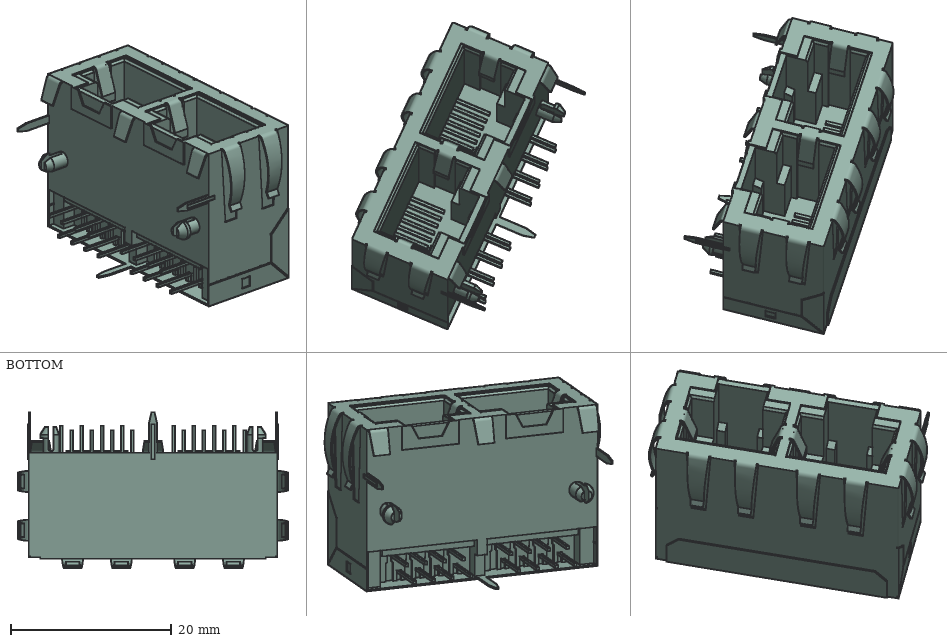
import cadquery as cq
import math


OVERALL_WIDTH = 33.77
WIDTH = 31.0
DEPTH = 13.07
HEIGHT = 20.97
SHEET = 0.2
PORT_X = 7.0
HALF_WIDTH = WIDTH / 2
SHELF_Z = HEIGHT - SHEET
SIDES = (-1, 1)

REAR_COVER_Z = 9.62
REAR_COVER_Y = 10.2
REAR_CORNER_Z = 6.82
LOWER_SEAM_Z = 2.95
SEAM_WIDTH = 0.15
BACK_CORNER_RADIUS = 0.17

OPENING_OUTER = 6.4
OPENING_INNER = 6.3
OPENING_BOTTOM = 2.15
OPENING_TOP = 10.98
KEYWAY_OPENING_WIDTH = 6.65
CAVITY_WIDTH = 11.95
CAVITY_BOTTOM = 3.58
CAVITY_TOP = 10.35
LEAD_IN = 0.3
CAVITY_FLOOR_Z = 6.08
KEYWAY_WIDTH = 6.25
KEYWAY_BOTTOM = 0.8
SHOULDER_Y = 4.63
SHOULDER_Z = 13.5
RAMP_SIZE = 1.08
RAMP_RISE = 0.4

CONTACT_COUNT = 8
CONTACT_PITCH = 1.0
CONTACT_WIDTH = 0.4
CONTACT_HEIGHT = 0.35
CONTACT_BOTTOM = 5.8

CLIP_Y = 6.82
CLIP_WIDTH = 2.05
CLIP_ROOT = 6.52
CLIP_BEND = 5.95
CLIP_TIP = 4.8
CLIP_BEND_Z = 20.55
CLIP_KNEE_Z = 17.4
CLIP_END_Z = 16.3
CLIP_SLOT_WIDTH = 2.85
CLIP_NOTCH_WIDTH = 2.45

SPRING_TOP_WIDTH = 2.67
SPRING_TIP_WIDTH = 1.6
SPRING_REACH = OVERALL_WIDTH / 2 - HALF_WIDTH
SPRING_RADIUS = 8.78
SPRING_CENTRE_Z = 16.55
SPRING_BEND = 0.4
SPRING_KINK_Z = 13.3
SPRING_TIP_Z = 12.6
SIDE_SPRING_Y = (3.6, 9.7)
BACK_SPRING_X = (-10.03, -3.95, 3.95, 10.03)
SLOT_TOP_WIDTH = 3.07
SLOT_BOTTOM_WIDTH = 1.82
SLOT_BOTTOM_Z = 10.77

FINGER_X = (-14.0, 0, 14.0)
FINGER_TOP_WIDTH = 2.53
FINGER_TIP_WIDTH = 2.13
FINGER_ROOT_Y = 0.1
FINGER_BEND = 0.47
FINGER_BEND_Z = 20.55
FINGER_REACH = 1.5
FINGER_TIP_Z = 17.93

PLATE_WIDTH = 7.65
PLATE_BOTTOM_Z = 17.9
NOTCH_TOP_WIDTH = 5.05
NOTCH_BOTTOM_WIDTH = 3.15
NOTCH_BOTTOM_Z = 19.15

STRIP_HEIGHT = 4.55
STRIP_WIDTH = 28.13
STRIP_TOP_WIDTH = 25.05
LATCH_SIZE = 1.32
LATCH_Y = 6.15
LATCH_Z = 1.45

BAY_TOP_Z = 5.1
BAY_SIDE_X = 13.37
BAY_MIDDLE = 0.68
BAY_BACK_Y = 2.5
POST_Y = 0.75
TAB_BOTTOM_Z = 3.07
LINTEL_Z = 4.12
LINTEL_Y = 0.68
LINTEL_INNER_X = 0.78
LINTEL_OUTER_X = 13.17

PIN_SIZE = 0.37
PINS_PER_ROW = 4
PIN_PITCH = 2.53
UPPER_PIN_Z = 3.85
UPPER_PIN_TIP = -3.35
LOWER_PIN_Z = 1.35
LOWER_PIN_TIP = -2.8
GROOVE_DEPTH = 0.37
GROOVE_WIDTH = 0.6
WIDE_GROOVE = 0.98
WIDE_GROOVE_Z = 2.55
NARROW_GROOVE_Z = 2.77

GROUND_WIDTH = 1.05
GROUND_TAPER_Y = -3.6
GROUND_TIP_Y = -5.03
GROUND_TIP_WIDTH = 0.4
GROUND_Z = 14.8
RIB_WIDTH = 0.47
RIB_START_Y = 0.85
RIB_END_Y = -3.5
RIB_HEIGHT = 0.1

PEG_X = 12.7
PEG_Z = 10.23
PEG_RADIUS = 1.0
PEG_TIP_RADIUS = 0.65
PEG_SHOULDER_Y = -2.23
PEG_TIP_Y = -3.2
BARB_X = 12.83
BARB_RADIUS = 1.25
BARB_START_Y = -1.8
PEG_SLOT_X = 12.73
PEG_SLOT_WIDTH = 0.65
PEG_SLOT_BOTTOM_Y = -0.17


def block(x0, x1, y0, y1, z0, z1):
    """Box between two corners."""
    return cq.Workplane("XY").box(x1 - x0, y1 - y0, z1 - z0, centered=False).translate((x0, y0, z0))


def trapezoid(centre, bottom_width, bottom_z, top_width, top_z):
    """Corner points of an upright symmetric trapezoid."""
    return [
        (centre - bottom_width / 2, bottom_z),
        (centre + bottom_width / 2, bottom_z),
        (centre + top_width / 2, top_z),
        (centre - top_width / 2, top_z),
    ]


def prism_y(points, y0, y1):
    """Extrude an XZ outline from y0 to y1."""
    return cq.Workplane("XZ", origin=(0, y0, 0)).polyline(points).close().extrude(y0 - y1)


def prism_x(points, x0, x1):
    """Extrude a YZ outline from x0 to x1."""
    return cq.Workplane("YZ", origin=(x0, 0, 0)).polyline(points).close().extrude(x1 - x0)


def combined(base, parts):
    """Fuse a list of parts onto a base in one step."""
    return cq.Workplane(base.val().fuse(*[part.val() for part in parts])).clean()


def without(base, tools):
    """Cut a list of tools from a base in one step."""
    return cq.Workplane(base.val().cut(*[tool.val() for tool in tools])).clean()


def shield_body():
    lower = block(-HALF_WIDTH, HALF_WIDTH, 0, DEPTH, 0, REAR_COVER_Z)
    upper = block(-HALF_WIDTH, HALF_WIDTH, 0, DEPTH, REAR_COVER_Z, HEIGHT)
    return lower.union(upper.edges("|Z and >Y").fillet(BACK_CORNER_RADIUS))


def seam_cut(start, end, x0):
    """Straight groove in a side wall between two (y, z) points."""
    length = math.dist(start, end)
    angle = math.degrees(math.atan2(end[1] - start[1], end[0] - start[0]))
    groove = block(x0, x0 + SHEET, 0, length, -SEAM_WIDTH / 2, SEAM_WIDTH / 2)
    return groove.rotate((0, 0, 0), (1, 0, 0), angle).translate((0, *start))


def side_seams():
    """Grooves around the rear cover flanges and the square latch windows."""
    path = [
        (DEPTH, REAR_COVER_Z),
        (REAR_COVER_Y, REAR_CORNER_Z),
        (REAR_COVER_Y, LOWER_SEAM_Z),
        (DEPTH, LOWER_SEAM_Z - (DEPTH - REAR_COVER_Y)),
    ]
    board_edge = (0, LOWER_SEAM_Z)
    segments = list(zip(path, path[1:])) + [(board_edge, path[2])]
    half_latch = LATCH_SIZE / 2
    cuts = []
    for x0 in (-HALF_WIDTH, HALF_WIDTH - SHEET):
        for start, end in segments:
            cuts.append(seam_cut(start, end, x0))
        cuts.append(
            block(x0, x0 + SHEET, LATCH_Y - half_latch, LATCH_Y + half_latch,
                  LATCH_Z - half_latch, LATCH_Z + half_latch)
        )
    return cuts


def back_strip():
    shoulder_z = STRIP_HEIGHT - (STRIP_WIDTH - STRIP_TOP_WIDTH) / 2
    lower = block(-STRIP_WIDTH / 2, STRIP_WIDTH / 2, DEPTH, DEPTH + SHEET, 0, shoulder_z)
    upper = trapezoid(0, STRIP_WIDTH, shoulder_z, STRIP_TOP_WIDTH, STRIP_HEIGHT)
    return lower.union(prism_y(upper, DEPTH, DEPTH + SHEET))


def port_cavity(side):
    """Everything removed for the port on one side."""
    centre_x = side * PORT_X
    half_cavity = CAVITY_WIDTH / 2
    half_lead_in = half_cavity + LEAD_IN
    middle_y = (CAVITY_BOTTOM + CAVITY_TOP) / 2
    cavity_height = CAVITY_TOP - CAVITY_BOTTOM
    left_edge, right_edge = sorted((side * OPENING_OUTER, -side * OPENING_INNER))

    def pocket(half_width, y0, y1, z0, z1):
        return block(centre_x - half_width, centre_x + half_width, y0, y1, z0, z1)

    def clip_pocket(half_width, width, z0, z1):
        return pocket(half_width, CLIP_Y - width / 2, CLIP_Y + width / 2, z0, z1)

    lead_in = (
        cq.Workplane("XY", origin=(centre_x, middle_y, SHELF_Z))
        .rect(2 * half_lead_in, cavity_height + 2 * LEAD_IN)
        .workplane(offset=-LEAD_IN)
        .rect(CAVITY_WIDTH, cavity_height)
        .loft(combine=True)
    )
    return [
        block(centre_x + left_edge, centre_x + right_edge, OPENING_BOTTOM, OPENING_TOP, SHELF_Z, HEIGHT),
        pocket(KEYWAY_OPENING_WIDTH / 2, 0, OPENING_TOP, SHELF_Z, HEIGHT),
        lead_in,
        pocket(half_cavity, SHOULDER_Y, CAVITY_TOP, CAVITY_FLOOR_Z, SHELF_Z),
        pocket(half_cavity, CAVITY_BOTTOM, SHOULDER_Y, SHOULDER_Z, SHELF_Z),
        pocket(KEYWAY_WIDTH / 2, KEYWAY_BOTTOM, SHOULDER_Y, CAVITY_FLOOR_Z, SHELF_Z),
        clip_pocket(half_lead_in, CLIP_SLOT_WIDTH, CAVITY_FLOOR_Z, SHELF_Z),
        clip_pocket(CLIP_ROOT, CLIP_NOTCH_WIDTH, SHELF_Z, HEIGHT),
    ]


def grounding_clip(side):
    """Strip folded down from the opening edge into the port."""
    embedded = CLIP_ROOT + SHEET
    clip = (
        cq.Workplane("XZ", origin=(0, CLIP_Y, 0))
        .moveTo(embedded, HEIGHT)
        .lineTo(CLIP_ROOT, HEIGHT)
        .tangentArcPoint((CLIP_BEND, CLIP_BEND_Z), relative=False)
        .lineTo(CLIP_TIP, CLIP_KNEE_Z)
        .lineTo(CLIP_TIP, CLIP_END_Z)
        .lineTo(CLIP_TIP + SHEET, CLIP_END_Z)
        .lineTo(CLIP_TIP + SHEET, CLIP_KNEE_Z)
        .lineTo(CLIP_BEND + SHEET, CLIP_BEND_Z)
        .tangentArcPoint((CLIP_ROOT, SHELF_Z), relative=False)
        .lineTo(embedded, SHELF_Z)
        .close()
        .extrude(CLIP_WIDTH / 2, both=True)
    )
    return clip if side > 0 else clip.mirror("YZ")


def port_fittings():
    """Contacts, keyway ramps and grounding clips of one port, centred on X = 0."""
    fittings = []
    for index in range(CONTACT_COUNT):
        x = (index - (CONTACT_COUNT - 1) / 2) * CONTACT_PITCH
        fittings.append(
            block(x - CONTACT_WIDTH / 2, x + CONTACT_WIDTH / 2, CONTACT_BOTTOM, CAVITY_TOP,
                  CAVITY_FLOOR_Z, CAVITY_FLOOR_Z + CONTACT_HEIGHT)
        )
    ramp = [
        (KEYWAY_BOTTOM, CAVITY_FLOOR_Z),
        (KEYWAY_BOTTOM + RAMP_SIZE, CAVITY_FLOOR_Z),
        (KEYWAY_BOTTOM + RAMP_SIZE, SHOULDER_Z - RAMP_RISE),
        (KEYWAY_BOTTOM, SHOULDER_Z),
    ]
    fittings.append(prism_x(ramp, -KEYWAY_WIDTH / 2, RAMP_SIZE - KEYWAY_WIDTH / 2))
    fittings.append(prism_x(ramp, KEYWAY_WIDTH / 2 - RAMP_SIZE, KEYWAY_WIDTH / 2))
    for side in SIDES:
        fittings.append(grounding_clip(side))
    return fittings


def keyway_plate(x):
    """Raised plate on the board face with a tapered notch in its top edge."""
    plate = block(x - PLATE_WIDTH / 2, x + PLATE_WIDTH / 2, -SHEET, 0, PLATE_BOTTOM_Z, HEIGHT)
    notch = trapezoid(x, NOTCH_BOTTOM_WIDTH, NOTCH_BOTTOM_Z, NOTCH_TOP_WIDTH, HEIGHT)
    return plate.cut(prism_y(notch, -SHEET, 0))


def curved_spring():
    def bulge(z, radius):
        """Distance of the curved blade from the wall at height z."""
        drop = math.sqrt(radius ** 2 - (z - SPRING_CENTRE_Z) ** 2)
        return SPRING_REACH - SPRING_RADIUS + drop

    inner_radius = SPRING_RADIUS - SHEET
    bend_height = math.sqrt(SPRING_RADIUS ** 2 - (SPRING_RADIUS - SPRING_REACH + SPRING_BEND) ** 2)
    bend_z = SPRING_CENTRE_Z + bend_height
    embedded = 2 * SHEET
    kink = bulge(SPRING_KINK_Z, SPRING_RADIUS)
    tip = kink + SPRING_BEND
    profile = (
        cq.Workplane("YZ")
        .moveTo(embedded, HEIGHT)
        .lineTo(SHEET, HEIGHT)
        .tangentArcPoint((-SPRING_BEND, bend_z), relative=False)
        .threePointArc((-SPRING_REACH, SPRING_CENTRE_Z), (-kink, SPRING_KINK_Z))
        .lineTo(-tip, SPRING_TIP_Z)
        .lineTo(SHEET - tip, SPRING_TIP_Z - SHEET / 2)
        .lineTo(-bulge(SPRING_KINK_Z, inner_radius), SPRING_KINK_Z)
        .threePointArc((SHEET - SPRING_REACH, SPRING_CENTRE_Z), (-bulge(bend_z, inner_radius), bend_z))
        .tangentArcPoint((SHEET, SHELF_Z), relative=False)
        .lineTo(embedded, SHELF_Z)
        .close()
    )
    blade = profile.extrude(SPRING_TOP_WIDTH / 2, both=True)
    taper = trapezoid(0, SPRING_TIP_WIDTH, SPRING_TIP_Z - SHEET, SPRING_TOP_WIDTH, HEIGHT)
    return blade.intersect(prism_y(taper, -SPRING_REACH, embedded))


def spring_slot():
    slot = trapezoid(0, SLOT_BOTTOM_WIDTH, SLOT_BOTTOM_Z, SLOT_TOP_WIDTH, HEIGHT)
    return prism_y(slot, 0, SHEET)


def at_spring_places(shape):
    """Copies of a shape at every curved spring of the side and back walls."""
    copies = []
    for y in SIDE_SPRING_Y:
        copies.append(shape.rotate((0, 0, 0), (0, 0, 1), -90).translate((-HALF_WIDTH, y, 0)))
        copies.append(shape.rotate((0, 0, 0), (0, 0, 1), 90).translate((HALF_WIDTH, y, 0)))
    for x in BACK_SPRING_X:
        copies.append(shape.rotate((0, 0, 0), (0, 0, 1), 180).translate((x, DEPTH, 0)))
    return copies


def board_finger(x):
    """Straight spring finger leaning away from the top edge of the board face."""
    lean = math.atan2(FINGER_REACH - FINGER_BEND, FINGER_BEND_Z - FINGER_TIP_Z)
    inward = SHEET * math.cos(lean)
    downward = SHEET * math.sin(lean)
    embedded = 2 * SHEET
    blade = (
        cq.Workplane("YZ", origin=(x, 0, 0))
        .moveTo(embedded, HEIGHT)
        .lineTo(FINGER_ROOT_Y, HEIGHT)
        .tangentArcPoint((-FINGER_BEND, FINGER_BEND_Z), relative=False)
        .lineTo(-FINGER_REACH, FINGER_TIP_Z)
        .lineTo(inward - FINGER_REACH, FINGER_TIP_Z - downward)
        .lineTo(inward - FINGER_BEND, FINGER_BEND_Z - downward)
        .tangentArcPoint((FINGER_ROOT_Y, SHELF_Z), relative=False)
        .lineTo(embedded, SHELF_Z)
        .close()
        .extrude(FINGER_TOP_WIDTH / 2, both=True)
    )
    taper = trapezoid(x, FINGER_TIP_WIDTH, FINGER_TIP_Z - SHEET, FINGER_TOP_WIDTH, HEIGHT)
    return blade.intersect(prism_y(taper, -FINGER_REACH, embedded))


def pin_places(row):
    """X of the pins in a row; rows 0 (upper) and 1 (lower) are staggered by half a pitch."""
    stagger = PIN_PITCH / 2
    first_x = (row - PINS_PER_ROW + 1 / 2) * stagger
    return [
        side * PORT_X + first_x + index * PIN_PITCH
        for side in SIDES
        for index in range(PINS_PER_ROW)
    ]


def pin_bay():
    """Recess behind the board face with lead grooves in its back wall."""
    groove_y = BAY_BACK_Y + GROOVE_DEPTH
    lower_groove_z = LOWER_PIN_Z + PIN_SIZE / 2
    inner_wall = HALF_WIDTH - SHEET

    def groove(x, width, top_z):
        return block(x - width / 2, x + width / 2, BAY_BACK_Y, groove_y, SHEET, top_z)

    cuts = [
        block(-inner_wall, -BAY_SIDE_X, 0, POST_Y, SHEET, BAY_TOP_Z),
        block(BAY_SIDE_X, inner_wall, 0, POST_Y, SHEET, BAY_TOP_Z),
        block(-BAY_MIDDLE, BAY_MIDDLE, 0, POST_Y, SHEET, TAB_BOTTOM_Z),
        block(-BAY_SIDE_X, -BAY_MIDDLE, 0, BAY_BACK_Y, SHEET, BAY_TOP_Z),
        block(BAY_MIDDLE, BAY_SIDE_X, 0, BAY_BACK_Y, SHEET, BAY_TOP_Z),
    ]
    for x in pin_places(0):
        neck = trapezoid(x, WIDE_GROOVE, WIDE_GROOVE_Z, GROOVE_WIDTH, NARROW_GROOVE_Z)
        cuts.append(groove(x, GROOVE_WIDTH, LINTEL_Z))
        cuts.append(groove(x, WIDE_GROOVE, WIDE_GROOVE_Z))
        cuts.append(prism_y(neck, BAY_BACK_Y, groove_y))
    for x in pin_places(1):
        cuts.append(groove(x, GROOVE_WIDTH, lower_groove_z))
    return cuts


def pin_bay_fittings():
    fittings = []
    for x0 in (-LINTEL_OUTER_X, LINTEL_INNER_X):
        x1 = x0 + LINTEL_OUTER_X - LINTEL_INNER_X
        fittings.append(block(x0, x1, LINTEL_Y, BAY_BACK_Y, LINTEL_Z, BAY_TOP_Z))
    half = PIN_SIZE / 2
    root_y = BAY_BACK_Y + 2 * GROOVE_DEPTH
    for row, (z, tip_y) in enumerate(((UPPER_PIN_Z, UPPER_PIN_TIP), (LOWER_PIN_Z, LOWER_PIN_TIP))):
        for x in pin_places(row):
            fittings.append(block(x - half, x + half, tip_y, root_y, z - half, z + half))
    return fittings


def ground_pin():
    """Flat pointed pin with a stiffening rib below it, lying on Z = 0 and centred on X = 0."""
    half = GROUND_WIDTH / 2
    half_tip = GROUND_TIP_WIDTH / 2
    outline = [
        (-half, RIB_START_Y),
        (-half, GROUND_TAPER_Y),
        (-half_tip, GROUND_TIP_Y),
        (half_tip, GROUND_TIP_Y),
        (half, GROUND_TAPER_Y),
        (half, RIB_START_Y),
    ]
    blade = cq.Workplane("XY").polyline(outline).close().extrude(SHEET)
    rib = block(-RIB_WIDTH / 2, RIB_WIDTH / 2, RIB_END_Y, RIB_START_Y, -RIB_HEIGHT, 0)
    return blade.union(rib)


def ground_pins():
    pin = ground_pin()
    pins = [pin]
    for side in SIDES:
        upright = pin.rotate((0, 0, 0), (0, 1, 0), -90 * side)
        pins.append(upright.translate((side * HALF_WIDTH, 0, GROUND_Z)))
    return pins


def cone_y(x, y0, radius0, y1, radius1):
    """Solid of revolution about the peg direction, cylinder or cone."""
    profile = [(0, y0), (radius0, y0), (radius1, y1), (0, y1)]
    turned = cq.Workplane("XY").polyline(profile).close().revolve(360, (0, 0, 0), (0, 1, 0))
    return turned.translate((x, 0, PEG_Z))


def locating_peg(side):
    """Split peg; only the outer half carries a snap barb."""
    shaft = cone_y(side * PEG_X, 0, PEG_RADIUS, PEG_SHOULDER_Y, PEG_RADIUS)
    shaft = shaft.union(
        cone_y(side * PEG_X, PEG_SHOULDER_Y, PEG_RADIUS, PEG_TIP_Y, PEG_TIP_RADIUS)
    )
    barb = cone_y(side * BARB_X, BARB_START_Y, BARB_RADIUS, PEG_SHOULDER_Y, BARB_RADIUS)
    barb = barb.union(
        cone_y(side * BARB_X, PEG_SHOULDER_Y, BARB_RADIUS, PEG_TIP_Y, PEG_TIP_RADIUS)
    )
    outer_x = sorted((side * PEG_SLOT_X, side * HALF_WIDTH))
    outer_half = block(*outer_x, PEG_TIP_Y, 0, PEG_Z - BARB_RADIUS, PEG_Z + BARB_RADIUS)
    slot_x = side * PEG_SLOT_X
    half_slot = PEG_SLOT_WIDTH / 2
    slot = (
        cq.Workplane("XY", origin=(slot_x, 0, PEG_Z))
        .moveTo(-half_slot, PEG_TIP_Y)
        .lineTo(-half_slot, PEG_SLOT_BOTTOM_Y - half_slot)
        .threePointArc((0, PEG_SLOT_BOTTOM_Y), (half_slot, PEG_SLOT_BOTTOM_Y - half_slot))
        .lineTo(half_slot, PEG_TIP_Y)
        .close()
        .extrude(BARB_RADIUS, both=True)
    )
    return shaft.union(barb.intersect(outer_half)).cut(slot)


removed = side_seams() + pin_bay() + at_spring_places(spring_slot())
added = [back_strip()] + pin_bay_fittings() + ground_pins()
added += at_spring_places(curved_spring())
added += [board_finger(x) for x in FINGER_X]
for side in SIDES:
    port_x = side * PORT_X
    removed += port_cavity(side)
    added += [fitting.translate((port_x, 0, 0)) for fitting in port_fittings()]
    added += [keyway_plate(port_x), locating_peg(side)]

result = combined(without(shield_body(), removed), added).solids()